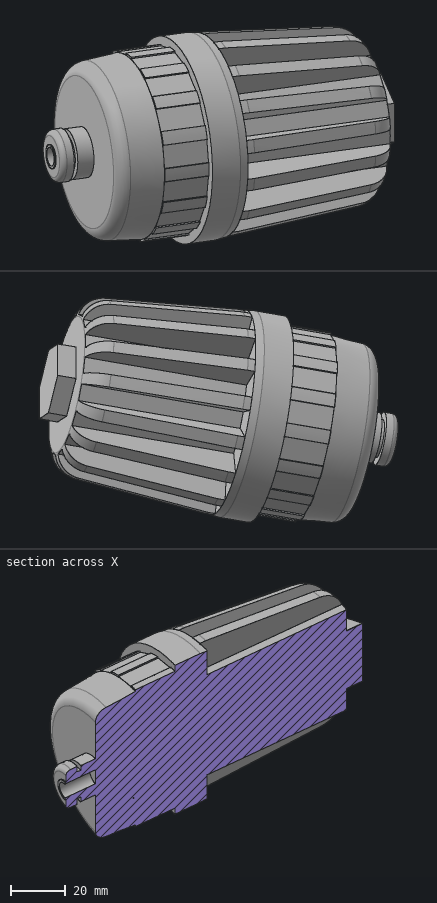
import cadquery as cq
import math

TOTAL_LENGTH = 131.0
AXIS_END = (0, 1, 0)

LIP_DIAMETER = 9.0
PIN_HOLE_DIAMETER = 7.0
HEAD_DIAMETER = 19.8
HEAD_FILLET = 2.1
PIN_GROOVE_DIAMETER = 14.1
PIN_DIAMETER = 18.9
HEAD_FRONT_Y = 0.4
HEAD_BACK_Y = 5.4
PIN_GROOVE_END_Y = 7.0

BOWL_FRONT_Y = 13.4
BOWL_FACE_RADIUS = 28.3
BOWL_CORNER_RADIUS = 5.1
BOWL_FLARE_ANGLE = 5.2
BOWL_BACK_Y = 30.9
bowl_flare = math.radians(BOWL_FLARE_ANGLE)
bowl_wall_start_radius = BOWL_FACE_RADIUS + BOWL_CORNER_RADIUS * math.cos(bowl_flare)
bowl_wall_start_y = BOWL_FRONT_Y + BOWL_CORNER_RADIUS * (1 - math.sin(bowl_flare))
bowl_back_radius = bowl_wall_start_radius + (BOWL_BACK_Y - bowl_wall_start_y) * math.tan(bowl_flare)

PAD_COUNT = 16
PAD_RADIUS = 35.4
PAD_WIDTH = 5.1

COLLAR_FRONT_Y = 48.3
COLLAR_DIAMETER = 77.0
COLLAR_EDGE_Y = 59.5
COLLAR_BACK_Y = 62.6
COLLAR_BACK_RADIUS = 38.1

FIN_COUNT = 16
CAP_ROOT_RADIUS = 38.0
CAP_TAPER_START_Y = 65.4
CAP_TAPER_END_Y = 115.1
CAP_TAPER_END_RADIUS = 33.7
CAP_END_Y = 124.0
CAP_END_RADIUS = 25.4
FIN_GAP_FLOOR_DISTANCE = 26.0
FIN_GAP_FLOOR_WIDTH = 6.2
FIN_GAP_MOUTH_WIDTH = 10.2

NUT_ACROSS_FLATS = 26.0


def plane_at(y):
    """Plane square to the axis at y, with local x on X, local y on Z and its normal along -Y."""
    return cq.Workplane("XZ", origin=(0, y, 0))


def turned(profile):
    """Revolve a closed (radius, y) profile about the Y axis."""
    return profile.close().revolve(360, (0, 0, 0), AXIS_END)


def disc(radius, y_start, y_end):
    return plane_at(y_end).circle(radius).extrude(y_end - y_start)


def make_pin():
    head = disc(HEAD_DIAMETER / 2, HEAD_FRONT_Y, HEAD_BACK_Y).faces("<Y").edges().fillet(HEAD_FILLET)
    lip = disc(LIP_DIAMETER / 2, 0, HEAD_BACK_Y)
    neck = disc(PIN_GROOVE_DIAMETER / 2, HEAD_BACK_Y, PIN_GROOVE_END_Y)
    shank = disc(PIN_DIAMETER / 2, PIN_GROOVE_END_Y, BOWL_FRONT_Y)
    hole = disc(PIN_HOLE_DIAMETER / 2, 0, BOWL_FRONT_Y)
    return head.union(lip).union(neck).union(shank).cut(hole)


def make_bowl():
    """Rounded front end whose wall flares back to the grip ring."""
    return turned(
        cq.Workplane("XY")
        .moveTo(0, BOWL_FRONT_Y)
        .lineTo(BOWL_FACE_RADIUS, BOWL_FRONT_Y)
        .tangentArcPoint((bowl_wall_start_radius, bowl_wall_start_y), relative=False)
        .lineTo(bowl_back_radius, BOWL_BACK_Y)
        .lineTo(0, BOWL_BACK_Y)
    )


def make_grip_ring():
    """Many-sided core with a raised pad over each corner; its flats touch the bowl's back edge."""
    length = COLLAR_FRONT_Y - BOWL_BACK_Y
    core_corner_diameter = 2 * bowl_back_radius / math.cos(math.pi / PAD_COUNT)
    ring = plane_at(COLLAR_FRONT_Y).polygon(PAD_COUNT, core_corner_diameter).extrude(length)
    bar = plane_at(COLLAR_FRONT_Y).rect(COLLAR_DIAMETER, PAD_WIDTH).extrude(length)
    for i in range(PAD_COUNT // 2):
        ring = ring.union(bar.rotate((0, 0, 0), AXIS_END, i * 360 / PAD_COUNT))
    return ring.intersect(disc(PAD_RADIUS, BOWL_BACK_Y, COLLAR_FRONT_Y))


def make_collar():
    radius = COLLAR_DIAMETER / 2
    return turned(
        cq.Workplane("XY")
        .moveTo(0, COLLAR_FRONT_Y)
        .lineTo(radius, COLLAR_FRONT_Y)
        .lineTo(radius, COLLAR_EDGE_Y)
        .lineTo(COLLAR_BACK_RADIUS, COLLAR_BACK_Y)
        .lineTo(0, COLLAR_BACK_Y)
    )


def make_cap():
    """Tapered, rounded cap split into fins by open gaps."""
    cap = turned(
        cq.Workplane("XY")
        .moveTo(0, COLLAR_BACK_Y)
        .lineTo(CAP_ROOT_RADIUS, COLLAR_BACK_Y)
        .lineTo(CAP_ROOT_RADIUS, CAP_TAPER_START_Y)
        .lineTo(CAP_TAPER_END_RADIUS, CAP_TAPER_END_Y)
        .tangentArcPoint((CAP_END_RADIUS, CAP_END_Y), relative=False)
        .lineTo(0, CAP_END_Y)
    )
    gap = (
        plane_at(CAP_END_Y)
        .polyline(
            [
                (-FIN_GAP_FLOOR_WIDTH / 2, FIN_GAP_FLOOR_DISTANCE),
                (FIN_GAP_FLOOR_WIDTH / 2, FIN_GAP_FLOOR_DISTANCE),
                (FIN_GAP_MOUTH_WIDTH / 2, COLLAR_DIAMETER / 2),
                (-FIN_GAP_MOUTH_WIDTH / 2, COLLAR_DIAMETER / 2),
            ]
        )
        .close()
        .extrude(CAP_END_Y - COLLAR_BACK_Y)
    )
    for i in range(FIN_COUNT):
        cap = cap.cut(gap.rotate((0, 0, 0), AXIS_END, i * 360 / FIN_COUNT))
    return cap


def make_nut():
    """Hexagonal prism with two opposite corners facing up and down."""
    across_corners = NUT_ACROSS_FLATS / math.cos(math.pi / 6)
    return (
        plane_at(TOTAL_LENGTH)
        .polygon(6, across_corners)
        .extrude(TOTAL_LENGTH - CAP_END_Y)
        .rotate((0, 0, 0), AXIS_END, 30)
    )


result = make_bowl()
for section in (make_pin(), make_grip_ring(), make_collar(), make_cap(), make_nut()):
    result = result.union(section)